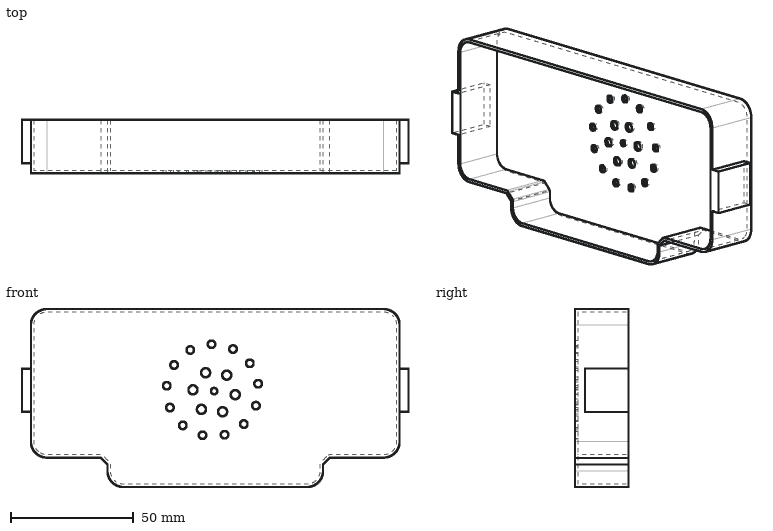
import cadquery as cq
import math

total_length = 157.8
depth = 22.0
height = 72.8

tab_projection = 3.6
body_length = total_length - 2 * tab_projection
foot_length = 88.0
foot_height = 12.0
corner_radius = 6.6
notch_chamfer = 2.7

wall = 1.3

tab_depth = 17.8
tab_height = 17.7
tab_center_z = 3.2

center_hole_diameter = 2.5
center_hole_position = (-0.5, 2.8)

inner_hole_count = 6
inner_hole_diameter = 3.6
inner_ring_radius = 8.7
inner_ring_center = (-0.5, 2.4)
inner_start_angle = -6.5

outer_hole_count = 13
outer_hole_diameter = 3.0
outer_ring_radius = 18.8
outer_ring_center = (-1.1, 3.2)
outer_start_angle = 8.2

back_y = depth / 2
top_z = height / 2
bottom_z = -height / 2
shoulder_z = bottom_z + foot_height


def make_block():
    """Solid block with a narrower foot, chamfered inner corners and rounded outer corners."""
    half_body = body_length / 2
    half_foot = foot_length / 2
    outline = [
        (-half_body, top_z),
        (half_body, top_z),
        (half_body, shoulder_z),
        (half_foot + notch_chamfer, shoulder_z),
        (half_foot, shoulder_z - notch_chamfer),
        (half_foot, bottom_z),
        (-half_foot, bottom_z),
        (-half_foot, shoulder_z - notch_chamfer),
        (-half_foot - notch_chamfer, shoulder_z),
        (-half_body, shoulder_z),
    ]
    block = cq.Workplane("XZ", origin=(0, back_y, 0)).polyline(outline).close().extrude(depth)

    sharp_corners = [
        (sign * x, z)
        for sign in (-1, 1)
        for x, z in ((half_body, top_z), (half_body, shoulder_z), (half_foot, bottom_z))
    ]
    for x, z in sharp_corners:
        corner_edge = cq.selectors.NearestToPointSelector((x, 0, z))
        block = block.edges("|Y").edges(corner_edge).fillet(corner_radius)
    return block


def make_tab(side):
    """Rectangular tab on one end; side is -1 for the -X end and 1 for the +X end."""
    center_x = side * (body_length + tab_projection) / 2
    center_y = back_y - tab_depth / 2
    tab = cq.Workplane("XY").box(tab_projection, tab_depth, tab_height)
    return tab.translate((center_x, center_y, tab_center_z))


def ring_points(center, radius, count, start_angle):
    """Evenly spaced (x, z) points on a circle, counter-clockwise from start_angle in degrees."""
    angles = [math.radians(start_angle + 360 * i / count) for i in range(count)]
    return [(center[0] + radius * math.cos(a), center[1] + radius * math.sin(a)) for a in angles]


def drill(part, points, diameter):
    """Cut round holes through the front wall."""
    holes = cq.Workplane("XZ", origin=(0, back_y, 0)).pushPoints(points).circle(diameter / 2).extrude(depth)
    return part.cut(holes)


result = make_block().faces(">Y").shell(-wall)

for side in (-1, 1):
    result = result.union(make_tab(side))

inner_points = ring_points(inner_ring_center, inner_ring_radius, inner_hole_count, inner_start_angle)
outer_points = ring_points(outer_ring_center, outer_ring_radius, outer_hole_count, outer_start_angle)
result = drill(result, [center_hole_position], center_hole_diameter)
result = drill(result, inner_points, inner_hole_diameter)
result = drill(result, outer_points, outer_hole_diameter)